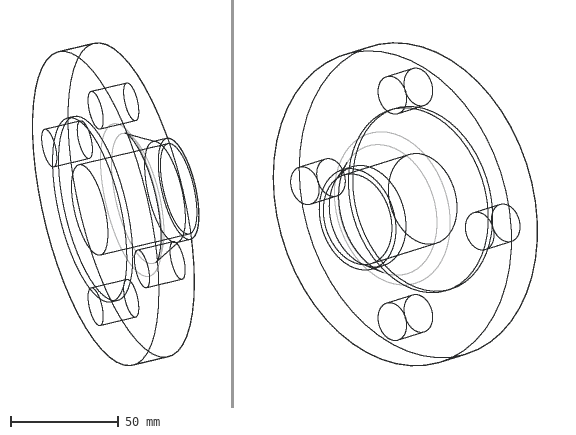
import cadquery as cq

raised_face_height = 3.0
flange_thickness = 18.0
overall_length = 45.0
weld_end_length = 6.9

flange_diameter = 150.0
raised_face_diameter = 88.0
hub_base_diameter = 65.5
weld_end_diameter = 48.3
bore_diameter = 43.2

hub_fillet_radius = 6.0

bolt_circle_diameter = 110.0
bolt_hole_diameter = 18.0
bolt_hole_count = 4

flange_back = raised_face_height + flange_thickness
hub_top = overall_length - weld_end_length


def revolved_body():
    """Raised face, flange, tapered hub and weld end turned about the Y axis."""
    return (
        cq.Workplane("XY")
        .lineTo(raised_face_diameter / 2, 0)
        .lineTo(raised_face_diameter / 2, raised_face_height)
        .lineTo(flange_diameter / 2, raised_face_height)
        .lineTo(flange_diameter / 2, flange_back)
        .lineTo(hub_base_diameter / 2, flange_back)
        .lineTo(weld_end_diameter / 2, hub_top)
        .lineTo(weld_end_diameter / 2, overall_length)
        .lineTo(0, overall_length)
        .close()
        .revolve(360, (0, 0, 0), (0, 1, 0))
    )


def blend_hub(body):
    """Round the corner where the hub meets the back of the flange."""
    hub_radius = hub_base_diameter / 2
    margin = 0.2
    hub_corner = cq.selectors.BoxSelector(
        (-hub_radius - margin, flange_back - margin, -hub_radius - margin),
        (hub_radius + margin, flange_back + margin, hub_radius + margin),
        boundingbox=True,
    )
    return body.edges(hub_corner).fillet(hub_fillet_radius)


def through_holes():
    """Central bore and the bolt holes, running the whole length along +Y."""
    face = cq.Workplane("XZ")
    bore = face.circle(bore_diameter / 2).extrude(-overall_length)
    bolt_holes = (
        face.polarArray(bolt_circle_diameter / 2, 0, 360, bolt_hole_count)
        .circle(bolt_hole_diameter / 2)
        .extrude(-overall_length)
    )
    return bore.union(bolt_holes)


result = blend_hub(revolved_body()).cut(through_holes())